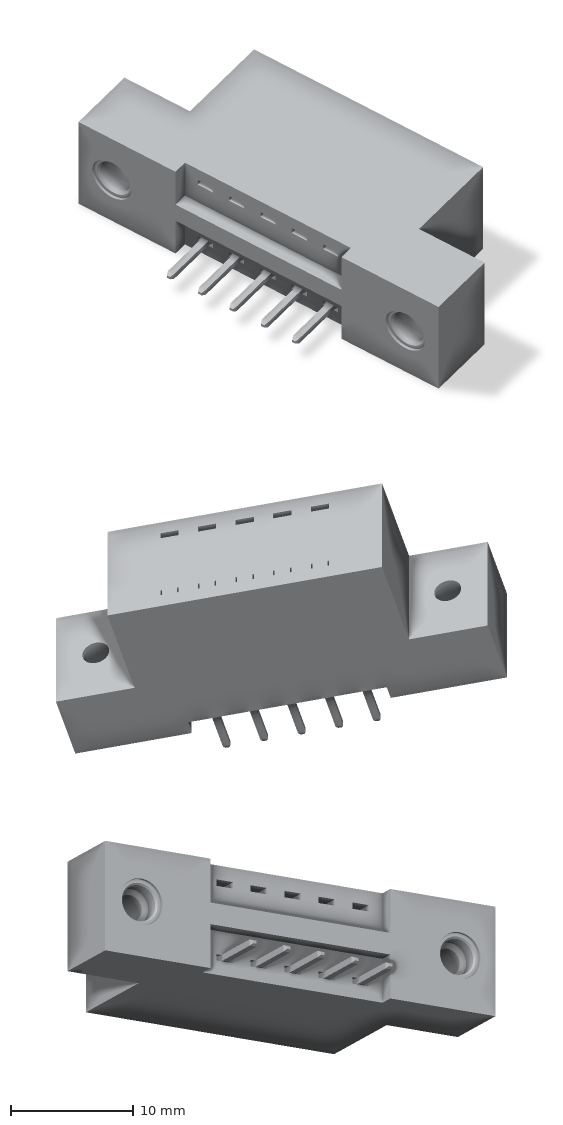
import cadquery as cq


housing_width = 36.45
housing_height = 9.4
ear_depth = 6.38
block_width = 23.2
housing_depth = 15.27

recess_width = 16.8
recess_depth = 1.3
web_height = 1.85
recess_height = (housing_height - web_height) / 2

contact_count = 5
contact_pitch = 3.17
slot_width = 1.53
slot_height = 0.55
slot_edge_distance = 1.5
lower_row_z = slot_edge_distance
upper_row_z = housing_height - slot_edge_distance
contact_positions = [(i - (contact_count - 1) / 2) * contact_pitch for i in range(contact_count)]

total_depth = 19.05
tail_length = total_depth - housing_depth
tail_width = 0.62
tip_length = 0.33
tip_inset = 0.15
blade_width = 1.28
shoulder_setback = 0.1
shoulder_length = 0.9
shoulder_start = recess_depth + shoulder_setback
shoulder_end = shoulder_start + shoulder_length

insert_spacing = 29.7
insert_diameter = 3.97
lip_diameter = 3.35
bore_diameter = 3.05
throat_diameter = 2.25
face_recess = 0.25
lip_depth = 0.45
bore_depth = 1.65
throat_start = 2.0
mount_positions = [-insert_spacing / 2, insert_spacing / 2]


def box(width, depth, height, x, y, z):
    """Box centred on x, with its front at y and its underside at z."""
    return cq.Workplane("XY").box(width, depth, height, centered=(True, False, False)).translate((x, y, z))


def make_housing():
    body = box(housing_width, ear_depth, housing_height, 0, 0, 0)
    body = body.union(box(block_width, housing_depth, housing_height, 0, 0, 0))

    for recess_z in (0, housing_height - recess_height):
        body = body.cut(box(recess_width, recess_depth, recess_height, 0, 0, recess_z))

    for row_z in (lower_row_z, upper_row_z):
        for x in contact_positions:
            body = body.cut(box(slot_width, housing_depth, slot_height, x, 0, row_z - slot_height / 2))

    for x in mount_positions:
        hole = cq.Workplane("XZ").circle(insert_diameter / 2).extrude(-ear_depth)
        body = body.cut(hole.translate((x, 0, housing_height / 2)))
    return body


def make_contact(x):
    """Flat contact whose tail sticks out of the front and ends in a tapered tip."""
    tip_base_y = tip_length - tail_length
    flat = (
        cq.Workplane("XY")
        .moveTo(-tail_width / 2, tip_base_y)
        .lineTo(tail_width / 2, tip_base_y)
        .lineTo(tail_width / 2, shoulder_start)
        .lineTo(blade_width / 2, shoulder_end)
        .lineTo(blade_width / 2, housing_depth)
        .lineTo(-blade_width / 2, housing_depth)
        .lineTo(-blade_width / 2, shoulder_end)
        .lineTo(-tail_width / 2, shoulder_start)
        .close()
        .extrude(slot_height / 2, both=True)
    )
    tip = (
        cq.Workplane("XZ", origin=(0, tip_base_y, 0))
        .rect(tail_width, slot_height)
        .workplane(offset=tip_length)
        .rect(tail_width - 2 * tip_inset, slot_height - 2 * tip_inset)
        .loft()
    )
    return flat.union(tip).translate((x, 0, lower_row_z))


def make_insert(x):
    """Bushing with a flared mouth and a bore that narrows to a throat."""
    profile = (
        cq.Workplane("XY")
        .moveTo(lip_diameter / 2, face_recess)
        .lineTo(insert_diameter / 2, face_recess)
        .lineTo(insert_diameter / 2, ear_depth)
        .lineTo(throat_diameter / 2, ear_depth)
        .lineTo(throat_diameter / 2, throat_start)
        .lineTo(bore_diameter / 2, bore_depth)
        .lineTo(bore_diameter / 2, lip_depth)
        .close()
    )
    return profile.revolve(360, (0, 0, 0), (0, 1, 0)).translate((x, 0, housing_height / 2))


housing = make_housing()
contacts = [make_contact(x) for x in contact_positions]
inserts = [make_insert(x) for x in mount_positions]

result = cq.Compound.makeCompound(
    [housing.val(), *[contact.val() for contact in contacts], *[insert.val() for insert in inserts]]
)